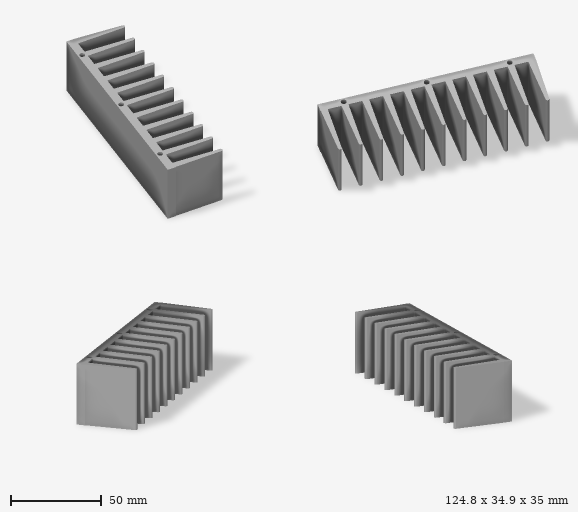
import cadquery as cq

length = 124.8
depth = 34.9
height = 35.0

base_thickness = 5.0

fin_count = 11
first_fin_inset = 2.5
last_fin_inset = 2.2
fin_pitch = (length - first_fin_inset - last_fin_inset) / (fin_count - 1)
fin_root_width = 4.0
fin_tip_radius = 1.06
fin_root_fillet = 0.4

hole_diameter = 3.2
hole_fins = (1, 5, 9)


def fin_center_x(index):
    return -length / 2 + first_fin_inset + index * fin_pitch


def make_base():
    return cq.Workplane("XY").box(length, base_thickness, height, centered=(True, False, False))


def make_fin(index, left_root, right_root):
    """Build one fin; the root values are half-widths at the top of the base."""
    x = fin_center_x(index)
    shoulder_y = depth - fin_tip_radius
    return (
        cq.Workplane("XY")
        .moveTo(x - left_root, 0)
        .lineTo(x + right_root, 0)
        .lineTo(x + right_root, base_thickness)
        .lineTo(x + fin_tip_radius, shoulder_y)
        .threePointArc((x, depth), (x - fin_tip_radius, shoulder_y))
        .lineTo(x - left_root, base_thickness)
        .close()
        .extrude(height)
    )


def make_holes():
    centers = [(fin_center_x(index), base_thickness / 2) for index in hole_fins]
    return cq.Workplane("XY").pushPoints(centers).circle(hole_diameter / 2).extrude(height)


root_half_width = fin_root_width / 2

body = make_base()
for fin_index in range(fin_count):
    left_half_width = first_fin_inset if fin_index == 0 else root_half_width
    body = body.union(make_fin(fin_index, left_half_width, root_half_width))

tolerance = 0.01
channel_corners = cq.selectors.BoxSelector(
    (fin_center_x(0), base_thickness - tolerance, 0),
    (fin_center_x(fin_count - 1), base_thickness + tolerance, height),
)
body = body.edges("|Z").edges(channel_corners).fillet(fin_root_fillet)

result = body.cut(make_holes())